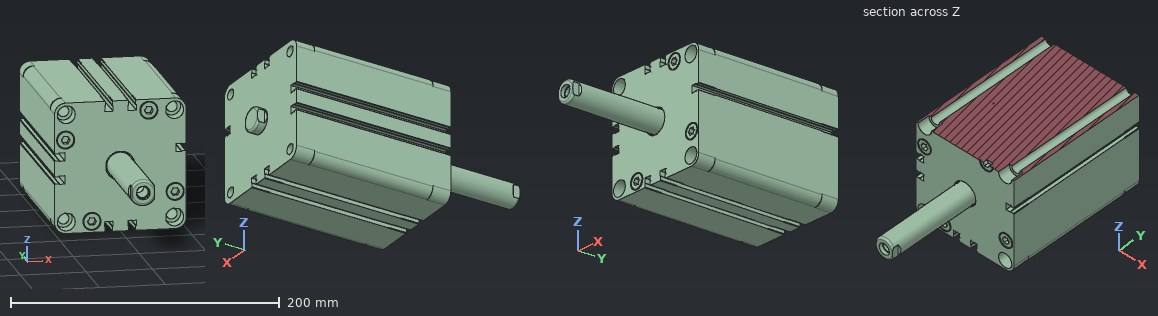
import cadquery as cq
import math

body_side = 100.0
body_length = 136.5
cap_length = 16.0
cap_corner_radius = 8.4
profile_corner_radius = 7.7

total_length = 232.0
rod_diameter = 20.0
rod_back_length = 8.0
rod_front_length = total_length - body_length - rod_back_length
rod_end_fillet = 1.9
rod_flats_width = 17.0
rod_flat_length = 6.0
rod_bore_diameter = 8.5
rod_bore_depth = 20.0
rod_bore_mouth_diameter = 10.2
rod_bore_mouth_depth = 3.5
drill_point_angle = 118.0

rod_recess_diameter = 22.0
rod_recess_depth = 2.0

slot_depth = 8.0
slot_lip_depth = 3.7
slot_undercut = 0.5
slot_mouth_chamfer = 0.5
slot_mouth_width = 5.3
pair_slot_offset = 8.8
single_slot_offset = 12.0

mount_offset = 41.0
mount_hole_diameter = 8.4
mount_bore_diameter = 13.5
mount_bore_depth = 11.5

screw_near_offset = 21.5
screw_far_offset = 41.5
screw_bore_diameter = 13.5
screw_head_diameter = 12.5
screw_gap_depth = 1.0
screw_hex_width = 5.5
screw_hex_depth = 4.2

half_side = body_side / 2
rod_front_y = -rod_front_length
rod_back_y = body_length + rod_back_length


def section_at(y):
    """Sketch plane facing -Y, with X to the right and Z up."""
    return cq.Workplane("XZ", origin=(0, y, 0))


def block(y_start, length, corner_radius):
    square = section_at(y_start).rect(body_side, body_side).extrude(-length)
    return square.edges("|Y").fillet(corner_radius)


def slot(offset):
    """T-shaped slot in the +Z side, running the full length of the body."""
    floor_z = half_side - slot_depth
    pocket_height = slot_depth - slot_lip_depth
    pocket_width = slot_mouth_width + 2 * slot_undercut
    mouth = section_at(0).moveTo(offset, floor_z + slot_depth / 2)
    mouth = mouth.rect(slot_mouth_width, slot_depth).extrude(-body_length)
    pocket = section_at(0).moveTo(offset, floor_z + pocket_height / 2)
    pocket = pocket.rect(pocket_width, pocket_height).extrude(-body_length)
    return mouth.union(pocket)


def mouth_bevel(offset, y_start, length):
    """Small chamfer along both edges of a slot mouth, as one wedge-sided cut."""
    inside_x = slot_mouth_width / 2
    outside_x = inside_x + slot_mouth_chamfer
    root_z = half_side - slot_mouth_chamfer
    outline = [
        (offset - outside_x, half_side),
        (offset - inside_x, root_z),
        (offset + inside_x, root_z),
        (offset + outside_x, half_side),
    ]
    return section_at(y_start).polyline(outline).close().extrude(-length)


def slots():
    """Paired slots on the top, bottom and -X sides and a single one on the +X side.

    Each side is listed by its turn about Y from the top. The mouths are bevelled
    in both caps, and on the -X side in the profile too.
    """
    pair = (-pair_slot_offset, pair_slot_offset)
    caps = ((0, cap_length), (body_length - cap_length, cap_length))
    full_length = ((0, body_length),)
    sides = (
        (0, pair, caps),
        (180, pair, caps),
        (270, pair, full_length),
        (90, (-single_slot_offset,), caps),
    )
    cutters = cq.Workplane("XY")
    for side_angle, offsets, bevel_spans in sides:
        for offset in offsets:
            cutter = slot(offset)
            for y_start, length in bevel_spans:
                cutter = cutter.union(mouth_bevel(offset, y_start, length))
            cutters = cutters.add(cutter.rotate((0, 0, 0), (0, 1, 0), side_angle))
    return cutters.combine()


def mounting_holes():
    points = [(x, z) for x in (-mount_offset, mount_offset) for z in (-mount_offset, mount_offset)]
    holes = section_at(0).pushPoints(points).circle(mount_hole_diameter / 2).extrude(-body_length)
    bores = section_at(0).pushPoints(points).circle(mount_bore_diameter / 2).extrude(-mount_bore_depth)
    return holes.union(bores)


def screw_recesses():
    """Ring gap around each screw head and the hexagon socket in it, a quarter turn apart."""
    near, far = screw_near_offset, screw_far_offset
    points = [(near, far), (-far, near), (-near, -far), (far, -near)]
    hex_corner_diameter = screw_hex_width / math.cos(math.radians(30))
    gaps = section_at(0).pushPoints(points).circle(screw_bore_diameter / 2)
    gaps = gaps.pushPoints(points).circle(screw_head_diameter / 2).extrude(-screw_gap_depth)
    sockets = section_at(0).pushPoints(points).polygon(6, hex_corner_diameter).extrude(-screw_hex_depth)
    return gaps.union(sockets)


def rod_recess():
    return section_at(0).circle(rod_recess_diameter / 2).extrude(-rod_recess_depth)


def flat_cutters():
    """Wrench flats on +X and -X at both rod ends, each running out at 45 degrees."""
    flat_x = rod_flats_width / 2
    run = rod_diameter - flat_x
    cutters = cq.Workplane("XY")
    for end_y, inward in ((rod_front_y, 1), (rod_back_y, -1)):
        runout_y = end_y + inward * rod_flat_length
        outline = [
            (flat_x, end_y),
            (flat_x, runout_y),
            (flat_x + run, runout_y + inward * run),
            (flat_x + run, end_y),
        ]
        cutter = cq.Workplane("XY").polyline(outline).close().extrude(rod_diameter / 2, both=True)
        cutters = cutters.add(cutter).add(cutter.mirror("YZ"))
    return cutters.combine()


def rod_bore():
    """Stepped blind hole in the front rod end: wide mouth, narrower bore, drill point."""
    radius = rod_bore_diameter / 2
    mouth_radius = rod_bore_mouth_diameter / 2
    mouth_end_y = rod_front_y + rod_bore_mouth_depth
    bore_end_y = rod_front_y + rod_bore_depth
    point_length = radius / math.tan(math.radians(drill_point_angle / 2))
    outline = [
        (0, rod_front_y),
        (mouth_radius, rod_front_y),
        (mouth_radius, mouth_end_y),
        (radius, mouth_end_y),
        (radius, bore_end_y),
        (0, bore_end_y + point_length),
    ]
    return cq.Workplane("XY").polyline(outline).close().revolve(360, (0, 0, 0), (0, 1, 0))


def rod():
    bar = section_at(rod_front_y).circle(rod_diameter / 2).extrude(-total_length)
    bar = bar.faces("<Y or >Y").fillet(rod_end_fillet)
    return bar.cut(flat_cutters()).cut(rod_bore())


front_cap = block(0, cap_length, cap_corner_radius)
profile = block(cap_length, body_length - 2 * cap_length, profile_corner_radius)
back_cap = block(body_length - cap_length, cap_length, cap_corner_radius)

body = front_cap.union(profile).union(back_cap)
for cutter in (slots(), mounting_holes(), screw_recesses(), rod_recess()):
    body = body.cut(cutter)

result = body.union(rod())